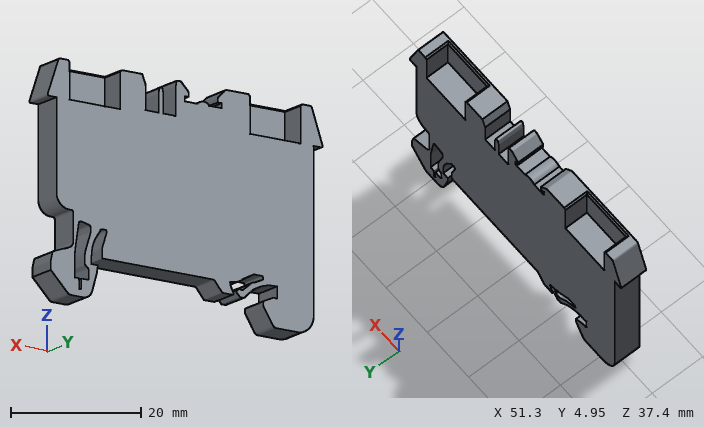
import cadquery as cq
import math


length = 51.25
depth = 4.95
height = 37.4

wall_x = 24.0
ear_base = 31.1
ear_slope = 2.9
ear_tip_round = 0.25
ear_top_round = 0.45
rail_roof = 6.75

groove_floor = 34.35
groove_lip = 35.15
groove_undercut = 0.7
groove_left = -6.1
groove_right = -0.65
lip_face_top = 35.9
lip_round = 0.25
groove_rim_round = 0.45
bump_x = -3.45
bump_radius = 1.5
bump_height = 0.5

slot_left = 1.75
slot_right = 7.35
slot_floor = 31.7
slot_left_flare_run = 0.15
slot_left_flare_rise = 0.9
slot_rim_round = 0.15
slot_chamfer_bottom = 35.7
slot_chamfer_run = 0.65
tongue_left = 4.05
tongue_right = 4.95
tongue_shoulder = 34.8
tongue_top = 35.75
tongue_taper = 0.2
tongue_round = 0.15

pocket_x = 16.8
pocket_width = 10.05
pocket_front = 0.4
pocket_chamfer = 0.3
pocket_floor = ear_base

left_foot_bottom = 0.9
left_foot_round = 3.1
hook_root_x = -17.1
hook_tip_x = -14.55
hook_tip_round = 0.4
clip_arm_top = 7.6
clip_tip_bottom = 4.75
clip_tip_top = 6.0
hook_floor = 5.7
relief_left = -14.5
relief_top = 8.8
stop_bottom = 4.9

neck_x = 20.85
shoulder_z = 13.6
shoulder_round = 2.3
toe_x = 25.05
toe_chamfer = 3.4
latch_x = 16.35
latch_z = 5.55
latch_arm_x = 17.45
gap_left = 15.5
gap_top = 11.45

window_floor = 2.9
window_right = 20.55
window_bulge_x = 18.0
window_waist_x = 18.7
slit_left = 19.35
slit_right = 19.8
slit_bottom = 1.2
slit_round = 0.15


def rounded_profile(corners):
    """Closed XZ wire through (x, z, radius) corners; a radius of 0 leaves the corner sharp."""
    spans = []
    count = len(corners)
    for i, (x, z, radius) in enumerate(corners):
        corner = cq.Vector(x, z)
        if radius == 0:
            spans.append((corner, None, corner))
            continue
        before = cq.Vector(*corners[i - 1][:2])
        after = cq.Vector(*corners[(i + 1) % count][:2])
        to_before = (before - corner).normalized()
        to_after = (after - corner).normalized()
        half_angle = to_before.getAngle(to_after) / 2
        reach = radius / math.tan(half_angle)
        sagitta = radius / math.sin(half_angle) - radius
        bisector = (to_before + to_after).normalized()
        spans.append((corner + to_before * reach, corner + bisector * sagitta, corner + to_after * reach))

    wire = cq.Workplane("XZ").moveTo(*spans[-1][2].toTuple()[:2])
    for start, middle, end in spans:
        wire = wire.lineTo(*start.toTuple()[:2])
        if middle is not None:
            wire = wire.threePointArc(middle.toTuple()[:2], end.toTuple()[:2])
    return wire.wire()


def plate(corners):
    """Solid of full depth with the given outline, its front face at Y = 0."""
    return rounded_profile(corners).extrude(-depth)


def ear(side):
    """Ear corners from the underside up; side is -1 for left and 1 for right."""
    tip_angle = math.atan(ear_slope)
    tip_x = length / 2 + ear_tip_round * (1 / math.tan(tip_angle / 2) - 1)
    ear_top_x = tip_x - (height - ear_base) / ear_slope
    return [
        (side * wall_x, ear_base, 0),
        (side * tip_x, ear_base, ear_tip_round),
        (side * ear_top_x, height, ear_top_round),
    ]


def marker_groove():
    """Corners of the marker groove, left to right."""
    lip_rise = height - lip_face_top
    return [
        (groove_left - lip_rise, height, groove_rim_round),
        (groove_left, lip_face_top, lip_round),
        (groove_left, groove_lip, 0),
        (groove_left - groove_undercut, groove_lip, 0),
        (groove_left - groove_undercut, groove_floor, 0),
        (groove_right + groove_undercut, groove_floor, 0),
        (groove_right + groove_undercut, groove_lip, 0),
        (groove_right, groove_lip, 0),
        (groove_right, lip_face_top, 0),
        (groove_right + lip_rise, height, lip_round),
    ]


def tongue_slot():
    """Corners of the slot and its tongue, left to right."""
    return [
        (slot_left - slot_left_flare_run, height, slot_rim_round),
        (slot_left, height - slot_left_flare_rise, 0),
        (slot_left, slot_floor, 0),
        (tongue_left, slot_floor, 0),
        (tongue_left, tongue_shoulder, 0),
        (tongue_left + tongue_taper, tongue_top, tongue_round),
        (tongue_right - tongue_taper, tongue_top, tongue_round),
        (tongue_right, tongue_shoulder, 0),
        (tongue_right, slot_floor, 0),
        (slot_right, slot_floor, 0),
        (slot_right, slot_chamfer_bottom, 0),
        (slot_right + slot_chamfer_run, height, 0),
    ]


def right_foot():
    """Corners from the right shoulder around the toe and latch to the rail roof."""
    return [
        (wall_x, shoulder_z, shoulder_round),
        (neck_x, shoulder_z, 0.4),
        (neck_x, 7.85, 1.15),
        (24.7, 6.4, 0.45),
        (toe_x, 4.85, 1.0),
        (toe_x, toe_chamfer, 0),
        (toe_x - toe_chamfer, 0, 0.8),
        (17.7, 0, 1.75),
        (latch_x, 4.6, 4.1),
        (latch_x, latch_z, 0),
        (latch_arm_x, latch_z, 0),
        (latch_arm_x, 8.65, 6.15),
        (15.65, gap_top, 0.35),
        (14.5, gap_top, 0.3),
        (gap_left, 8.45, 0.4),
        (gap_left, rail_roof, 0.15),
    ]


def left_foot():
    """Corners from the rail roof past the stop and clip arm to the hook and the lower left corner."""
    stop = [
        (-5.4, rail_roof, 0.45),
        (-6.9, stop_bottom, 0.15),
        (-9.1, stop_bottom, 0.2),
        (-8.25, 6.85, 0.25),
    ]
    relief_and_clip_arm = [
        (-10.0, 7.2, 1.0),
        (-12.8, relief_top, 0.4),
        (relief_left, relief_top, 0.25),
        (relief_left, 8.25, 0.15),
        (-12.3, 7.35, 0.75),
        (-10.75, clip_tip_top, 0.15),
        (-9.95, clip_tip_top, 0.15),
        (-9.5, 5.55, 0.15),
        (-10.2, clip_tip_bottom, 0.2),
        (-11.0, clip_tip_bottom, 0.3),
        (-13.95, clip_arm_top, 6.65),
    ]
    hook = [
        (hook_root_x, clip_arm_top, 0),
        (hook_root_x, hook_floor, 0),
        (-16.45, hook_floor, 0.15),
        (hook_tip_x, 4.8, hook_tip_round),
        (hook_tip_x, 4.05, hook_tip_round),
        (-16.55, left_foot_bottom, 0.8),
        (-wall_x, left_foot_bottom, left_foot_round),
    ]
    return stop + relief_and_clip_arm + hook


def foot_window():
    """Cutter for the opening that frees the latch arm from the neck."""
    return plate([
        (17.65, 11.65, 0.45),
        (19.8, 12.15, 0.5),
        (window_right, 7.15, 5.1),
        (window_right, window_floor, 0),
        (slit_right, window_floor, slit_round),
        (slit_right, slit_bottom, slit_round),
        (slit_left, slit_bottom + slit_round, 0),
        (slit_left, window_floor, 0),
        (window_bulge_x, window_floor, 0.25),
        (window_bulge_x, 4.7, 0.4),
        (window_waist_x, 5.25, 0.3),
        (window_waist_x, 7.15, 4.1),
        (17.6, 10.65, 1.0),
    ])


def groove_bump():
    """Cylinder whose crown rises above the groove floor."""
    return (
        cq.Workplane("XZ")
        .center(bump_x, groove_floor + bump_height - bump_radius)
        .circle(bump_radius)
        .extrude(-depth)
    )


def pocket(center_x):
    """Pocket with a chamfered rim on its front and two sides; the back is open."""
    side_x = pocket_width / 2 - pocket_chamfer
    front_y = pocket_front + pocket_chamfer
    shaft = (
        cq.Workplane("XY", origin=(center_x, 0, pocket_floor))
        .moveTo(-side_x, front_y)
        .lineTo(side_x, front_y)
        .lineTo(side_x, depth)
        .lineTo(-side_x, depth)
        .close()
        .extrude(height - pocket_floor)
    )
    flare_depth = depth - pocket_front + pocket_chamfer
    flare_middle_y = pocket_front + flare_depth / 2
    flare = (
        cq.Workplane("XY", origin=(center_x, flare_middle_y, height))
        .rect(pocket_width, flare_depth)
        .workplane(offset=-pocket_chamfer)
        .rect(2 * side_x, flare_depth - 2 * pocket_chamfer)
        .loft(ruled=True)
    )
    return shaft.union(flare)


outline = ear(-1) + marker_groove() + tongue_slot() + ear(1)[::-1] + right_foot() + left_foot()

result = plate(outline).union(groove_bump()).cut(foot_window())
for center_x in (-pocket_x, pocket_x):
    result = result.cut(pocket(center_x))